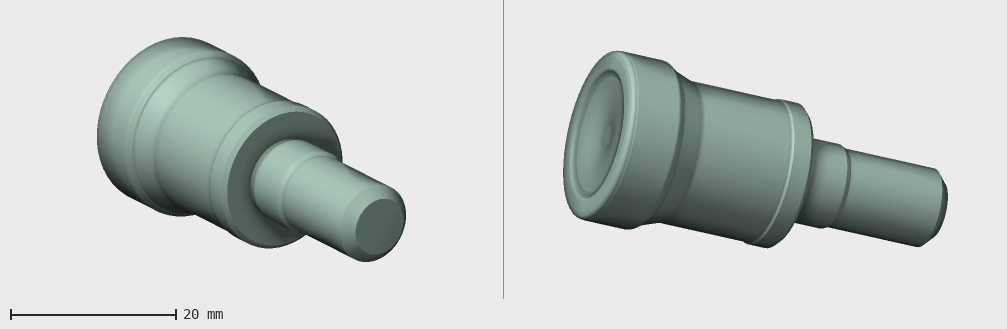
import cadquery as cq

total_length = 45.0

head_radius = 9.8
head_front_x = 1.35
nose_radius = 7.0
nose_x = 0.55

cap_radius = 20.95 / 2
cap_end_x = 7.35
face_radius = 9.6
face_cone_radius = 10.0
face_cone_x = 0.1
edge_radius = 10.45
edge_start_x = 0.75
edge_end_x = 0.95
lip_flat_radius = 8.9
lip_taper_radius = 8.2
lip_taper_x = 0.05
lip_wall_radius = 7.95
lip_wall_x = 0.15
lip_corner_radius = 7.75
cap_rear_edge_x = 6.3
crimp_start_x = 6.65
crimp_start_radius = 10.35
crimp_end_x = 7.2
crimp_end_radius = 10.0

dish_depth = 0.9
dish_floor_radius = 1.55
head_taper_x = 7.75
head_taper_radius = 9.68
taper_end_x = 9.9
taper_end_radius = 8.9
barrel_start_x = 10.45
barrel_radius = 17.6 / 2
flange_x = 21.95
flange_edge_x = 22.25
flange_radius = 18.0 / 2
flange_end_x = 25.0
flange_chamfer = 0.55
neck_radius = 5.05
neck_end_x = 25.45
collar_radius = 10.5 / 2
collar_start_x = 26.15
collar_end_x = 30.9
shank_x = 31.6
shank_radius = 9.75 / 2
tip_chamfer = 1.35


def blend_middle(start, corner, end):
    """Arc through-point that rounds the corner between start and end."""
    return tuple((a + 2 * b + c) / 4 for a, b, c in zip(start, corner, end))


def revolve_about_x(profile):
    """Revolve a closed (x, radius) profile a full turn about the X axis."""
    return profile.close().revolve(360, (0, 0, 0), (1, 0, 0))


def make_cap():
    """Ring with a rounded front edge, an inward lip and a crimped rear edge."""
    edge_start = (face_cone_x, face_cone_radius)
    edge_end = (edge_start_x, edge_radius)
    edge_corner = (2 * face_cone_x, edge_radius)
    edge_middle = blend_middle(edge_start, edge_corner, edge_end)
    rear_start = (cap_rear_edge_x, cap_radius)
    rear_end = (crimp_start_x, crimp_start_radius)
    rear_corner = ((cap_rear_edge_x + crimp_start_x) / 2, cap_radius)
    rear_middle = blend_middle(rear_start, rear_corner, rear_end)
    lip_inner = (nose_x, nose_radius)
    lip_wall = (lip_wall_x, lip_wall_radius)
    lip_middle = blend_middle(lip_inner, (nose_x, lip_corner_radius), lip_wall)
    profile = (
        cq.Workplane("XY")
        .moveTo(0, lip_flat_radius)
        .lineTo(0, face_radius)
        .lineTo(*edge_start)
        .threePointArc(edge_middle, edge_end)
        .lineTo(edge_end_x, cap_radius)
        .lineTo(*rear_start)
        .threePointArc(rear_middle, rear_end)
        .lineTo(crimp_end_x, crimp_end_radius)
        .lineTo(cap_end_x, head_radius)
        .lineTo(head_front_x, head_radius)
        .lineTo(head_front_x, nose_radius)
        .lineTo(*lip_inner)
        .threePointArc(lip_middle, lip_wall)
        .lineTo(lip_taper_x, lip_taper_radius)
    )
    return revolve_about_x(profile)


def make_stud():
    """Dished head, tapered barrel with a flange, and a stepped shank."""
    taper_end = (taper_end_x, taper_end_radius)
    barrel_start = (barrel_start_x, barrel_radius)
    barrel_corner = ((taper_end_x + barrel_start_x) / 2, barrel_radius)
    barrel_middle = blend_middle(taper_end, barrel_corner, barrel_start)
    profile = (
        cq.Workplane("XY")
        .moveTo(nose_x + dish_depth, 0)
        .lineTo(nose_x + dish_depth, dish_floor_radius)
        .lineTo(nose_x, nose_radius)
        .lineTo(head_front_x, nose_radius)
        .lineTo(head_front_x, head_radius)
        .lineTo(cap_end_x, head_radius)
        .lineTo(head_taper_x, head_taper_radius)
        .lineTo(*taper_end)
        .threePointArc(barrel_middle, barrel_start)
        .lineTo(flange_x, barrel_radius)
        .lineTo(flange_edge_x, flange_radius)
        .lineTo(flange_end_x - flange_chamfer, flange_radius)
        .lineTo(flange_end_x, flange_radius - flange_chamfer)
        .lineTo(flange_end_x, neck_radius)
        .lineTo(neck_end_x, neck_radius)
        .lineTo(collar_start_x, collar_radius)
        .lineTo(collar_end_x, collar_radius)
        .lineTo(shank_x, shank_radius)
        .lineTo(total_length - tip_chamfer, shank_radius)
        .lineTo(total_length, shank_radius - tip_chamfer)
        .lineTo(total_length, 0)
    )
    return revolve_about_x(profile)


cap = make_cap()
stud = make_stud()

result = cq.Compound.makeCompound([cap.val(), stud.val()])